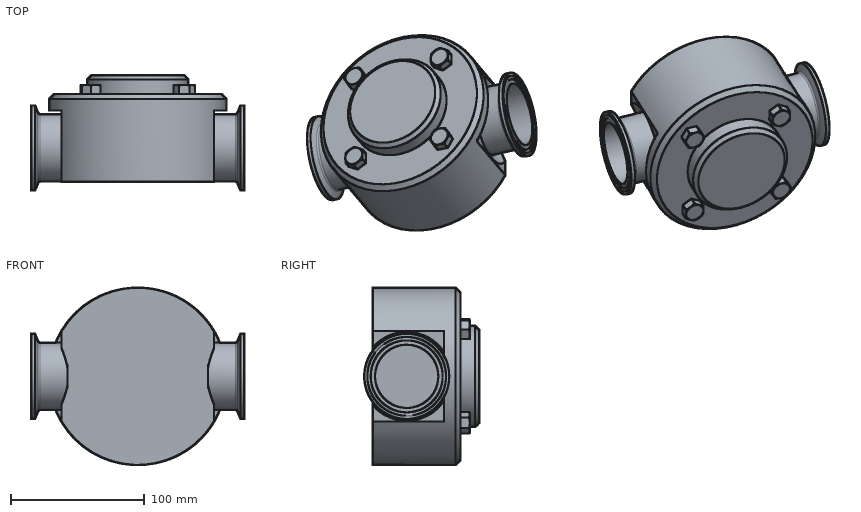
import cadquery as cq

body_radius = 66.675
body_front_y = -25.5
flange_front_y = 28.0
flange_thickness = 12.5
flange_chamfer = 3.8
flange_rear_y = flange_front_y + flange_thickness

hub_radius = 38.0
hub_height = 14.05
hub_chamfer = 3.1

flat_x = 57.4

bolt_count = 4
bolt_circle_radius = 49.5
bolt_first_angle = 45.0
bolt_corner_diameter = 16.2
bolt_head_height = 6.9
bolt_bevel_height = 0.6
bolt_bevel_width = 1.1
bolt_twist = 44.0

port_end_x = 80.1
pipe_radius = 25.4
bore_radius = 23.75
bore_floor_x = 61.3

relief_outer_radius = 33.3
relief_floor_radius = 26.2
relief_floor_x = 52.7
relief_fillet = 1.5

pipe_embed = 1.0
port_start_x = relief_floor_x - pipe_embed

ferrule_radius = 32.0
ferrule_rim_width = 3.0
ferrule_cone_width = 2.7
ferrule_fillet = 1.5
groove_radius = 28.3
groove_width = 2.5
groove_depth = 1.5
groove_lip_fillet = 0.3


def y_cylinder(radius, start_y, end_y):
    """Solid cylinder about the Y axis between two Y positions."""
    plane = cq.Workplane("XZ", origin=(0, start_y, 0))
    return plane.circle(radius).extrude(start_y - end_y)


def make_body():
    """Round body trimmed by a flat on each side."""
    body = y_cylinder(body_radius, body_front_y, flange_front_y)
    trim = (
        cq.Workplane("XZ", origin=(0, body_front_y, 0))
        .rect(2 * flat_x, 2 * body_radius)
        .extrude(body_front_y - flange_front_y)
    )
    return body.intersect(trim)


def make_flange_and_hub():
    """Rear flange and hub, each chamfered on its rear edge."""
    flange = y_cylinder(body_radius, flange_front_y, flange_rear_y)
    flange = flange.faces(">Y").chamfer(flange_chamfer)
    hub = y_cylinder(hub_radius, flange_rear_y, flange_rear_y + hub_height)
    hub = hub.faces(">Y").chamfer(hub_chamfer)
    return flange.union(hub)


def make_bolt_heads():
    """Hex heads with bevelled corners, evenly spaced and turned with the pattern."""
    head = (
        cq.Workplane("XZ", origin=(0, flange_rear_y, 0))
        .polygon(6, bolt_corner_diameter)
        .extrude(-bolt_head_height)
        .rotate((0, 0, 0), (0, 1, 0), bolt_twist)
    )
    bevel = y_cylinder(bolt_corner_diameter / 2, flange_rear_y, flange_rear_y + bolt_head_height)
    bevel = bevel.faces(">Y").chamfer(bolt_bevel_height, bolt_bevel_width)
    head = head.intersect(bevel).translate((bolt_circle_radius, 0, 0))
    heads = cq.Workplane("XY")
    for index in range(bolt_count):
        angle = bolt_first_angle + index * 360 / bolt_count
        heads = heads.union(head.rotate((0, 0, 0), (0, 1, 0), angle))
    return heads


def turn_about_x(outline):
    """Revolve an outline of (x, radius) points about the X axis."""
    return cq.Workplane("XY").polyline(outline).close().revolve(360, (0, 0, 0), (1, 0, 0))


def make_relief():
    """Conical cutter that opens outward to the flat, rounded at its floor."""
    relief = turn_about_x([
        (relief_floor_x, 0),
        (relief_floor_x, relief_floor_radius),
        (flat_x, relief_outer_radius),
        (flat_x, 0),
    ])
    return relief.faces("<X").edges().fillet(relief_fillet)


def make_groove():
    """Cutter for the rounded gasket groove in the ferrule face."""
    half_width = groove_width / 2
    return (
        cq.Workplane("XY")
        .moveTo(port_end_x, groove_radius - half_width)
        .threePointArc((port_end_x - groove_depth, groove_radius), (port_end_x, groove_radius + half_width))
        .close()
        .revolve(360, (0, 0, 0), (1, 0, 0))
    )


def make_port():
    """Solid pipe and grooved clamp ferrule on the +X side."""
    rim_x = port_end_x - ferrule_rim_width
    cone_x = rim_x - ferrule_cone_width
    port = turn_about_x([
        (port_start_x, 0),
        (port_start_x, pipe_radius),
        (cone_x, pipe_radius),
        (rim_x, ferrule_radius),
        (port_end_x, ferrule_radius),
        (port_end_x, 0),
    ])
    cone_root = cq.selectors.NearestToPointSelector((cone_x, 0, 0))
    port = port.edges(cone_root).fillet(ferrule_fillet).cut(make_groove())
    inner_lip = cq.selectors.RadiusNthSelector(0)
    outer_lip = cq.selectors.RadiusNthSelector(1)
    return port.faces(">X").edges(inner_lip + outer_lip).fillet(groove_lip_fillet)


def make_bore():
    """Round bore from the ferrule face down to its flat floor."""
    plane = cq.Workplane("YZ", origin=(bore_floor_x, 0, 0))
    return plane.circle(bore_radius).extrude(port_end_x - bore_floor_x)


def both_sides(shape):
    """The shape together with its mirror image across the YZ plane."""
    return shape.union(shape.mirror("YZ"))


result = (
    make_body()
    .cut(both_sides(make_relief()))
    .union(make_flange_and_hub())
    .union(make_bolt_heads())
    .union(both_sides(make_port()))
    .cut(both_sides(make_bore()))
)